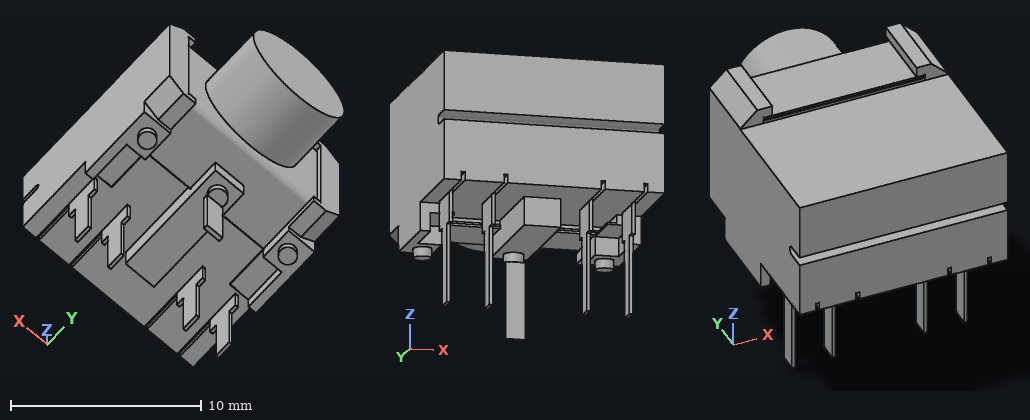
import cadquery as cq

WIDTH = 12.0
HALF_WIDTH = WIDTH / 2
HEIGHT = 7.0
FRAME_FRONT = 7.62
FRAME_REAR = 11.62

FRAME_HEIGHT = 9.0
AXIS_Z = 3.46
FRAME_CHAMFER_X = 0.98
FRAME_CHAMFER_Z = 0.92
ARM_INNER_X = 4.15

GROOVE_WIDTH = 0.5
GROOVE_DEPTH = 1.25

FOOT_FRONT = 4.97
FOOT_REAR = 9.63
FOOT_BOTTOM = -1.54
FOOT_WALL = 0.55
FOOT_RECESS_TOP = -0.55
MIDDLE_FOOT_WIDTH = 2.0
MIDDLE_FOOT_FRONT = 2.52

PEG_Y = 8.67
PEG_BOTTOM = -2.05
SIDE_PEG_X = 4.94
SIDE_PEG_DIAMETER = 1.0
MIDDLE_PEG_DIAMETER = 1.09

INSERT_WIDTH = 9.31
INSERT_HEIGHT = 7.8
INSERT_REAR = 11.33
INSERT_EDGE_RADIUS = 0.3
INSERT_BOTTOM = AXIS_Z - INSERT_HEIGHT / 2
INSERT_TOP = AXIS_Z + INSERT_HEIGHT / 2
LIP_THICKNESS = 0.12
LIP_LENGTH = 0.057
LIP_SLOPE_HEIGHT = 0.12
CORE_FRONT = FRAME_FRONT + LIP_LENGTH
BARREL_DIAMETER = 6.4
BARREL_END = 15.11

SIDE_PIN_X = (-4.95, -2.65, 2.65, 4.95)
SIDE_PIN_THICKNESS = 0.2
SIDE_PIN_Y = 3.61
SIDE_PIN_HEAD_WIDTH = 2.02
SIDE_PIN_HEAD_BOTTOM = -1.6
SIDE_PIN_TOP = 0.45
SIDE_PIN_BLADE_WIDTH = 1.05
SIDE_PIN_BOTTOM = -5.83

MIDDLE_PIN_WIDTH = MIDDLE_PEG_DIAMETER
MIDDLE_PIN_THICKNESS = 0.25
MIDDLE_PIN_Y = 8.33
MIDDLE_PIN_BOTTOM = -6.24


def box(x_range, y_range, z_range):
    """Box between two limits along each axis."""
    (x0, x1), (y0, y1), (z0, z1) = x_range, y_range, z_range
    return cq.Workplane("XY").box(x1 - x0, y1 - y0, z1 - z0, centered=False).translate((x0, y0, z0))


def centred_box(width, y_range, z_range):
    """Box centred on X = 0."""
    return box((-width / 2, width / 2), y_range, z_range)


def on_both_sides(shape):
    """The shape together with its mirror image across X = 0."""
    return shape.union(shape.mirror("YZ"))


def make_insert():
    lip_top = INSERT_TOP - LIP_THICKNESS
    lip_bottom = INSERT_BOTTOM + LIP_THICKNESS
    plate = (
        cq.Workplane("YZ")
        .moveTo(FRAME_FRONT, INSERT_BOTTOM)
        .lineTo(INSERT_REAR, INSERT_BOTTOM)
        .lineTo(INSERT_REAR, INSERT_TOP)
        .lineTo(FRAME_FRONT, INSERT_TOP)
        .lineTo(FRAME_FRONT, lip_top)
        .lineTo(CORE_FRONT, lip_top - LIP_SLOPE_HEIGHT)
        .lineTo(CORE_FRONT, lip_bottom + LIP_SLOPE_HEIGHT)
        .lineTo(FRAME_FRONT, lip_bottom)
        .close()
        .extrude(INSERT_WIDTH / 2, both=True)
    )
    plate = plate.faces(">Y").edges("|X").fillet(INSERT_EDGE_RADIUS)
    barrel = (
        cq.Workplane("XZ", origin=(0, INSERT_REAR, AXIS_Z))
        .circle(BARREL_DIAMETER / 2)
        .extrude(INSERT_REAR - BARREL_END)
    )
    return plate.union(barrel)


def make_frame():
    """Chamfered rear frame, cut away between the arms above and below the insert."""
    half_height = FRAME_HEIGHT / 2
    top_x = HALF_WIDTH - FRAME_CHAMFER_X
    side_z = half_height - FRAME_CHAMFER_Z
    corners = [
        (-HALF_WIDTH, -side_z),
        (-top_x, -half_height),
        (top_x, -half_height),
        (HALF_WIDTH, -side_z),
        (HALF_WIDTH, side_z),
        (top_x, half_height),
        (-top_x, half_height),
        (-HALF_WIDTH, side_z),
    ]
    frame = (
        cq.Workplane("XZ", origin=(0, FRAME_FRONT, AXIS_Z))
        .polyline(corners)
        .close()
        .extrude(FRAME_FRONT - FRAME_REAR)
    )
    gap_width = 2 * ARM_INNER_X
    gap_y = (FRAME_FRONT, FRAME_REAR)
    above = centred_box(gap_width, gap_y, (INSERT_TOP, AXIS_Z + half_height))
    below = centred_box(gap_width, gap_y, (AXIS_Z - half_height, 0))
    return frame.cut(above).cut(below)


def make_side_feet():
    """Feet below the arms, each hollowed from the front behind its outer wall."""
    foot = box((ARM_INNER_X, HALF_WIDTH), (FOOT_FRONT, FOOT_REAR), (FOOT_BOTTOM, 0))
    recess = box(
        (ARM_INNER_X, HALF_WIDTH - FOOT_WALL), (FOOT_FRONT, FRAME_FRONT), (FOOT_BOTTOM, FOOT_RECESS_TOP)
    )
    return on_both_sides(foot.cut(recess))


def make_middle_foot():
    return centred_box(MIDDLE_FOOT_WIDTH, (MIDDLE_FOOT_FRONT, FOOT_REAR), (FOOT_BOTTOM, 0))


def make_peg(x, diameter):
    """Round locating peg hanging below a foot."""
    peg = cq.Workplane("XY", origin=(x, PEG_Y, PEG_BOTTOM)).circle(diameter / 2)
    return peg.extrude(FOOT_BOTTOM - PEG_BOTTOM)


def make_pegs():
    side_pegs = on_both_sides(make_peg(SIDE_PEG_X, SIDE_PEG_DIAMETER))
    return side_pegs.union(make_peg(0, MIDDLE_PEG_DIAMETER))


def make_front_groove():
    """Cutter for the round-ended groove across the front face, at half height."""
    radius = GROOVE_WIDTH / 2
    middle_z = HEIGHT / 2
    return (
        cq.Workplane("YZ")
        .moveTo(0, middle_z - radius)
        .lineTo(GROOVE_DEPTH - radius, middle_z - radius)
        .threePointArc((GROOVE_DEPTH, middle_z), (GROOVE_DEPTH - radius, middle_z + radius))
        .lineTo(0, middle_z + radius)
        .close()
        .extrude(HALF_WIDTH, both=True)
    )


def make_pin_notch(x):
    """Cutter for the notch that runs from the front face to the rear of a side pin."""
    half = SIDE_PIN_THICKNESS / 2
    return box((x - half, x + half), (0, SIDE_PIN_Y + SIDE_PIN_HEAD_WIDTH / 2), (0, SIDE_PIN_TOP))


def make_housing(insert):
    block = centred_box(WIDTH, (0, CORE_FRONT), (0, HEIGHT))
    seat = centred_box(INSERT_WIDTH, (CORE_FRONT, FRAME_REAR), (INSERT_BOTTOM, INSERT_TOP))
    track = centred_box(INSERT_WIDTH, (FOOT_FRONT, CORE_FRONT), (INSERT_BOTTOM, 0))
    housing = block.union(make_frame()).union(make_side_feet()).cut(track)
    housing = housing.union(make_middle_foot()).cut(seat).cut(insert)
    housing = housing.union(make_pegs()).cut(make_front_groove())
    for x in SIDE_PIN_X:
        housing = housing.cut(make_pin_notch(x))
    return housing


def make_side_pin(x):
    """Flat pin with a wide head that steps down to a narrow blade."""
    half_head = SIDE_PIN_HEAD_WIDTH / 2
    half_blade = SIDE_PIN_BLADE_WIDTH / 2
    outline = [
        (-half_head, SIDE_PIN_TOP),
        (half_head, SIDE_PIN_TOP),
        (half_head, SIDE_PIN_HEAD_BOTTOM),
        (half_blade, SIDE_PIN_HEAD_BOTTOM),
        (half_blade, SIDE_PIN_BOTTOM),
        (-half_blade, SIDE_PIN_BOTTOM),
        (-half_blade, SIDE_PIN_HEAD_BOTTOM),
        (-half_head, SIDE_PIN_HEAD_BOTTOM),
    ]
    return (
        cq.Workplane("YZ", origin=(x, SIDE_PIN_Y, 0))
        .polyline(outline)
        .close()
        .extrude(SIDE_PIN_THICKNESS / 2, both=True)
    )


def make_middle_pin():
    half_thickness = MIDDLE_PIN_THICKNESS / 2
    y_range = (MIDDLE_PIN_Y - half_thickness, MIDDLE_PIN_Y + half_thickness)
    return centred_box(MIDDLE_PIN_WIDTH, y_range, (MIDDLE_PIN_BOTTOM, PEG_BOTTOM))


insert = make_insert()
housing = make_housing(insert)
side_pins = [make_side_pin(x) for x in SIDE_PIN_X]
middle_pin = make_middle_pin()

bodies = [housing, insert, middle_pin, *side_pins]
result = cq.Compound.makeCompound([body.solids().val() for body in bodies])